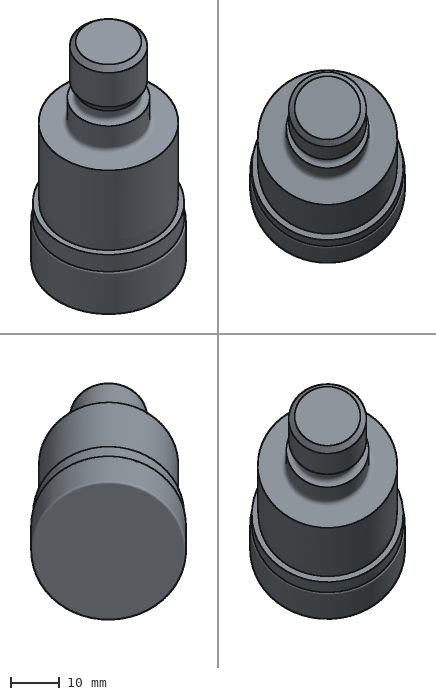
import cadquery as cq
import math

pad_radius = 16.0
pad_height = 12.15
pad_rim_fillet = 0.5

flange_top = 17.0
taper_top = 20.0
barrel_top = 40.0
shoulder_top = 47.0
thread_bottom = 52.0
stud_top = 63.0

flange_radius = 15.62
taper_bottom_radius = 14.3
barrel_radius = 14.4
shoulder_radius = 8.5
thread_radius = 8.0
relief_radius = 6.773

corner_fillet = 1.0
relief_cone_height = 2.3

tip_chamfer = thread_radius - relief_radius
relief_cone_bottom = thread_bottom - relief_cone_height
arc_middle_offset = corner_fillet * (1 - math.sqrt(0.5))


def make_pad():
    disc = cq.Workplane("XY").circle(pad_radius).extrude(pad_height)
    return disc.edges().fillet(pad_rim_fillet)


def add_corner_fillet(outline, wall_radius, floor_level):
    """Continue the outline along a floor and up a concave fillet to the wall above it."""
    middle = (wall_radius + arc_middle_offset, floor_level + arc_middle_offset)
    end = (wall_radius, floor_level + corner_fillet)
    return outline.lineTo(wall_radius + corner_fillet, floor_level).threePointArc(middle, end)


def make_stud():
    outline = (
        cq.Workplane("XZ")
        .moveTo(0, pad_height)
        .lineTo(flange_radius, pad_height)
        .lineTo(flange_radius, flange_top)
        .lineTo(taper_bottom_radius, flange_top)
        .lineTo(barrel_radius, taper_top)
        .lineTo(barrel_radius, barrel_top)
    )
    outline = add_corner_fillet(outline, shoulder_radius, barrel_top)
    outline = outline.lineTo(shoulder_radius, shoulder_top)
    outline = add_corner_fillet(outline, relief_radius, shoulder_top)
    outline = (
        outline
        .lineTo(relief_radius, relief_cone_bottom)
        .lineTo(thread_radius, thread_bottom)
        .lineTo(thread_radius, stud_top - tip_chamfer)
        .lineTo(relief_radius, stud_top)
        .lineTo(0, stud_top)
        .close()
    )
    return outline.revolve(360, (0, 0, 0), (0, 1, 0))


pad = make_pad()
stud = make_stud()
result = cq.Compound.makeCompound([pad.val(), stud.val()])